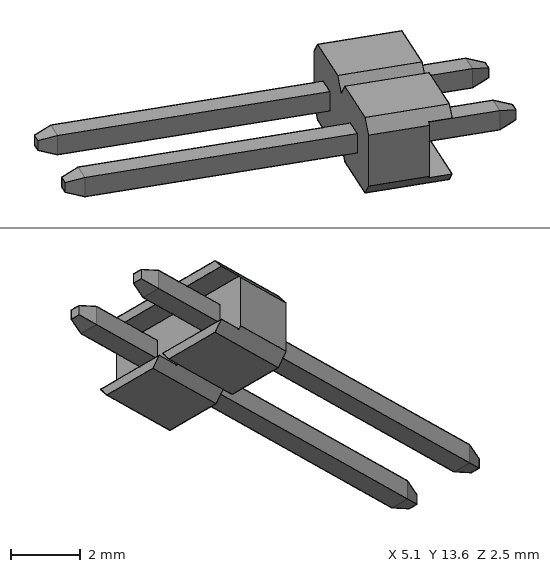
import cadquery as cq

pin_count = 2
pitch = 2.55
body_height = 2.5
body_depth = 2.55
body_front_y = 1.96
corner_width = 0.33
corner_height = 0.41

channel_height = 1.85
channel_depth = 0.71

pin_length = 13.6
pin_width = 0.64
tip_width = 0.33
tip_length = 0.55
pin_offset_x = -0.102

body_width = pin_count * pitch
body_rear_y = body_front_y + body_depth
block_centres = [(i - (pin_count - 1) / 2) * pitch for i in range(pin_count)]


def make_block(center_x):
    """Octagonal prism running along Y."""
    half_width = pitch / 2
    half_height = body_height / 2
    flat_x = half_width - corner_width
    flat_z = half_height - corner_height
    outline = [
        (-flat_x, -half_height),
        (flat_x, -half_height),
        (half_width, -flat_z),
        (half_width, flat_z),
        (flat_x, half_height),
        (-flat_x, half_height),
        (-half_width, flat_z),
        (-half_width, -flat_z),
    ]
    prism = cq.Workplane("XZ").polyline(outline).close().extrude(-body_depth)
    return prism.translate((center_x, body_front_y, 0))


def make_tip(end_y, direction):
    """Tapered pin end; direction is +1 or -1, pointing outward along Y."""
    base_y = end_y - direction * tip_length
    return (
        cq.Workplane("XZ", origin=(0, base_y, 0))
        .rect(pin_width, pin_width)
        .workplane(offset=-direction * tip_length)
        .rect(tip_width, tip_width)
        .loft(ruled=True)
    )


def make_pin(center_x):
    """Square pin along Y, centred on the origin in Y and Z."""
    shaft = cq.Workplane("XY").box(pin_width, pin_length - 2 * tip_length, pin_width)
    for direction in (-1, 1):
        shaft = shaft.union(make_tip(direction * pin_length / 2, direction))
    return shaft.translate((center_x, 0, 0))


body = make_block(block_centres[0])
for center in block_centres[1:]:
    body = body.union(make_block(center))

channel = cq.Workplane("XY").box(body_width, channel_depth, channel_height)
body = body.cut(channel.translate((0, body_rear_y - channel_depth / 2, 0)))

result = body
for center in block_centres:
    result = result.union(make_pin(center + pin_offset_x))